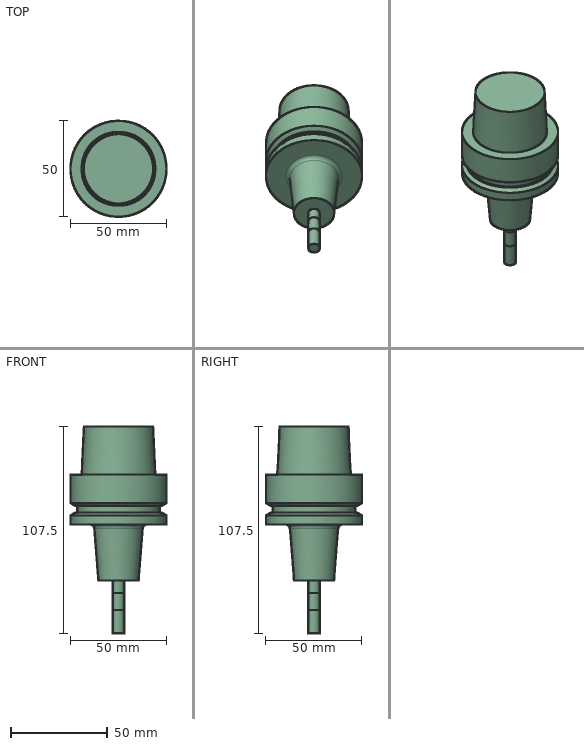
import cadquery as cq
import math

TOTAL_HEIGHT = 107.5
TAPER_HEIGHT = 25.0
FLANGE_HEIGHT = 26.0
NOSE_HEIGHT = 29.0

TAPER_TOP_DIAMETER = 36.0
TAPER_BASE_DIAMETER = 38.4

FLANGE_DIAMETER = 50.0
GROOVE_DIAMETER = 43.0
GROOVE_LEDGE_DIAMETER = 44.8
UPPER_RIM_HEIGHT = 14.7
LOWER_RIM_HEIGHT = 4.7
GROOVE_FLANK_ANGLE = 30.0

NOSE_TIP_DIAMETER = 21.0
NOSE_HALF_ANGLE = 4.5
NOSE_FILLET = 2.0

TOOL_DIAMETER = 6.0
SHANK_LENGTH = 6.6
CUTTER_LENGTH = 12.0

flange_top = TOTAL_HEIGHT - TAPER_HEIGHT
flange_bottom = flange_top - FLANGE_HEIGHT
nose_bottom = flange_bottom - NOSE_HEIGHT
shank_bottom = nose_bottom - SHANK_LENGTH


def draw_nose(outline):
    """Add the nose, from its tip on the axis up to the fillet under the flange."""
    half_angle = math.radians(NOSE_HALF_ANGLE)
    tip_radius = NOSE_TIP_DIAMETER / 2
    root_radius = tip_radius + NOSE_HEIGHT * math.tan(half_angle)
    tangent_length = NOSE_FILLET * math.tan((math.pi / 2 - half_angle) / 2)
    centre_radius = root_radius + tangent_length
    centre_height = flange_bottom - NOSE_FILLET
    middle_angle = (math.pi / 2 + math.pi - half_angle) / 2
    fillet_start = (
        root_radius - tangent_length * math.sin(half_angle),
        flange_bottom - tangent_length * math.cos(half_angle),
    )
    fillet_middle = (
        centre_radius + NOSE_FILLET * math.cos(middle_angle),
        centre_height + NOSE_FILLET * math.sin(middle_angle),
    )
    return (
        outline.moveTo(0, nose_bottom)
        .lineTo(tip_radius, nose_bottom)
        .lineTo(*fillet_start)
        .threePointArc(fillet_middle, (centre_radius, flange_bottom))
    )


def draw_flange(outline):
    """Add the flange, with a groove whose sloping flanks end in narrow flat ledges."""
    rim_radius = FLANGE_DIAMETER / 2
    ledge_radius = GROOVE_LEDGE_DIAMETER / 2
    groove_radius = GROOVE_DIAMETER / 2
    flank_height = (rim_radius - ledge_radius) * math.tan(math.radians(GROOVE_FLANK_ANGLE))
    upper_rim_bottom = flange_top - UPPER_RIM_HEIGHT
    lower_rim_top = flange_bottom + LOWER_RIM_HEIGHT
    groove_top = upper_rim_bottom - flank_height
    groove_bottom = lower_rim_top + flank_height
    return (
        outline.lineTo(rim_radius, flange_bottom)
        .lineTo(rim_radius, lower_rim_top)
        .lineTo(ledge_radius, groove_bottom)
        .lineTo(groove_radius, groove_bottom)
        .lineTo(groove_radius, groove_top)
        .lineTo(ledge_radius, groove_top)
        .lineTo(rim_radius, upper_rim_bottom)
        .lineTo(rim_radius, flange_top)
    )


def draw_taper(outline):
    """Add the spindle taper and end on the axis at the top."""
    return (
        outline.lineTo(TAPER_BASE_DIAMETER / 2, flange_top)
        .lineTo(TAPER_TOP_DIAMETER / 2, TOTAL_HEIGHT)
        .lineTo(0, TOTAL_HEIGHT)
    )


def make_holder():
    """Tool holder: nose, flange and taper turned about Z in one piece."""
    outline = draw_taper(draw_flange(draw_nose(cq.Workplane("XZ"))))
    return outline.close().revolve(360, (0, 0, 0), (0, 1, 0))


def make_tool_section(bottom, top):
    """Plain cylindrical length of the tool between two heights."""
    return cq.Workplane("XY").workplane(offset=bottom).circle(TOOL_DIAMETER / 2).extrude(top - bottom)


holder = make_holder()
shank = make_tool_section(shank_bottom, nose_bottom)
neck = make_tool_section(CUTTER_LENGTH, shank_bottom)
cutter = make_tool_section(0, CUTTER_LENGTH)

result = cq.Compound.makeCompound([holder.val(), shank.val(), neck.val(), cutter.val()])